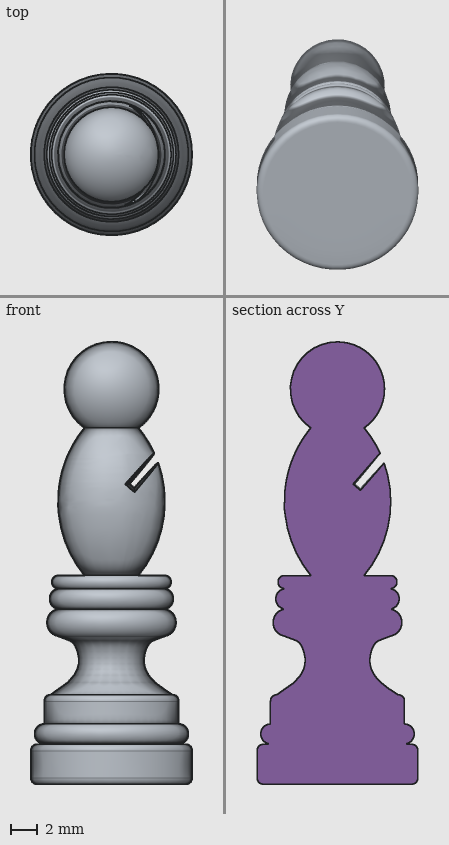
import cadquery as cq
import math

TOTAL_HEIGHT = 32.87
BASE_RADIUS = 12.0 / 2
BASE_TOP = 3.0
EDGE_ROUND = 0.5
DRUM_RADIUS = 10.0 / 2
BASE_BEAD_TOP = 4.5
BASE_BEAD_BULGE = 0.72
DRUM_TOP = 6.67

WAIST_RADIUS = 2.45
WAIST_HEIGHT = 9.6
NECK_FLARE_RADIUS = 2.75
NECK_FLARE_HEIGHT = 10.4

COLLAR_RADIUS = 4.0
COLLAR_BOTTOM = 11.0
COLLAR_BEADS = [(13.02, 0.8), (14.53, 0.6), (15.5, 0.43)]

HEAD_END_RADIUS = 2.0
HEAD_MAX_RADIUS = 3.98
BALL_RADIUS = 3.52

SLOT_ANGLE = 49.0
SLOT_WIDTH = 1.0
SLOT_LENGTH = 6.57
SLOT_FLOOR_X = 1.35
SLOT_FLOOR_Z = 21.95
SLOT_DRAFT = 1.8
SLOT_START_Y = -4.93
SLOT_DEPTH = 9.85

ROUND_MID = EDGE_ROUND * (1 - math.sqrt(0.5))
HEAD_BOTTOM = COLLAR_BEADS[-1][0]
BALL_CENTER = TOTAL_HEIGHT - BALL_RADIUS
HEAD_TOP = BALL_CENTER - math.sqrt(BALL_RADIUS**2 - HEAD_END_RADIUS**2)


def bulge(profile, radius, bottom, top, height_out):
    """Add an outward arc between two levels at the same radius."""
    middle = (radius + height_out, (bottom + top) / 2)
    return profile.threePointArc(middle, (radius, top))


def round_top_edge(profile, radius, top):
    """Add a vertical side up to a quarter-round top edge."""
    profile = profile.lineTo(radius, top - EDGE_ROUND)
    middle = (radius - ROUND_MID, top - ROUND_MID)
    return profile.threePointArc(middle, (radius - EDGE_ROUND, top))


def add_base(profile):
    profile = profile.lineTo(BASE_RADIUS - EDGE_ROUND, 0)
    profile = profile.threePointArc((BASE_RADIUS - ROUND_MID, ROUND_MID), (BASE_RADIUS, EDGE_ROUND))
    profile = round_top_edge(profile, BASE_RADIUS, BASE_TOP)
    profile = profile.lineTo(DRUM_RADIUS, BASE_TOP)
    profile = bulge(profile, DRUM_RADIUS, BASE_TOP, BASE_BEAD_TOP, BASE_BEAD_BULGE)
    return round_top_edge(profile, DRUM_RADIUS, DRUM_TOP)


def add_neck(profile):
    neck_points = [
        (WAIST_RADIUS, WAIST_HEIGHT),
        (NECK_FLARE_RADIUS, NECK_FLARE_HEIGHT),
        (COLLAR_RADIUS, COLLAR_BOTTOM),
    ]
    tangents = [(-1, 0.6), (1, 0.4)]
    return profile.spline(neck_points, tangents=tangents, includeCurrent=True)


def add_collar(profile):
    bottom = COLLAR_BOTTOM
    for top, height_out in COLLAR_BEADS:
        profile = bulge(profile, COLLAR_RADIUS, bottom, top, height_out)
        bottom = top
    return profile


def add_head_and_ball(profile):
    profile = profile.lineTo(HEAD_END_RADIUS, HEAD_BOTTOM)
    profile = bulge(profile, HEAD_END_RADIUS, HEAD_BOTTOM, HEAD_TOP, HEAD_MAX_RADIUS - HEAD_END_RADIUS)
    return profile.threePointArc((BALL_RADIUS, BALL_CENTER), (0, TOTAL_HEIGHT))


def make_slot():
    angle = math.radians(SLOT_ANGLE)
    slot_plane = cq.Plane(
        origin=(SLOT_FLOOR_X, SLOT_START_Y, SLOT_FLOOR_Z),
        xDir=(math.cos(angle), 0, math.sin(angle)),
        normal=(0, 1, 0),
    )
    outline = cq.Workplane(slot_plane).center(SLOT_LENGTH / 2, 0).rect(SLOT_LENGTH, SLOT_WIDTH)
    return outline.extrude(SLOT_DEPTH, taper=SLOT_DRAFT)


profile = cq.Workplane("XZ").moveTo(0, 0)
for add_section in (add_base, add_neck, add_collar, add_head_and_ball):
    profile = add_section(profile)
body = profile.close().revolve(360, (0, 0, 0), (0, 1, 0))

result = body.cut(make_slot())